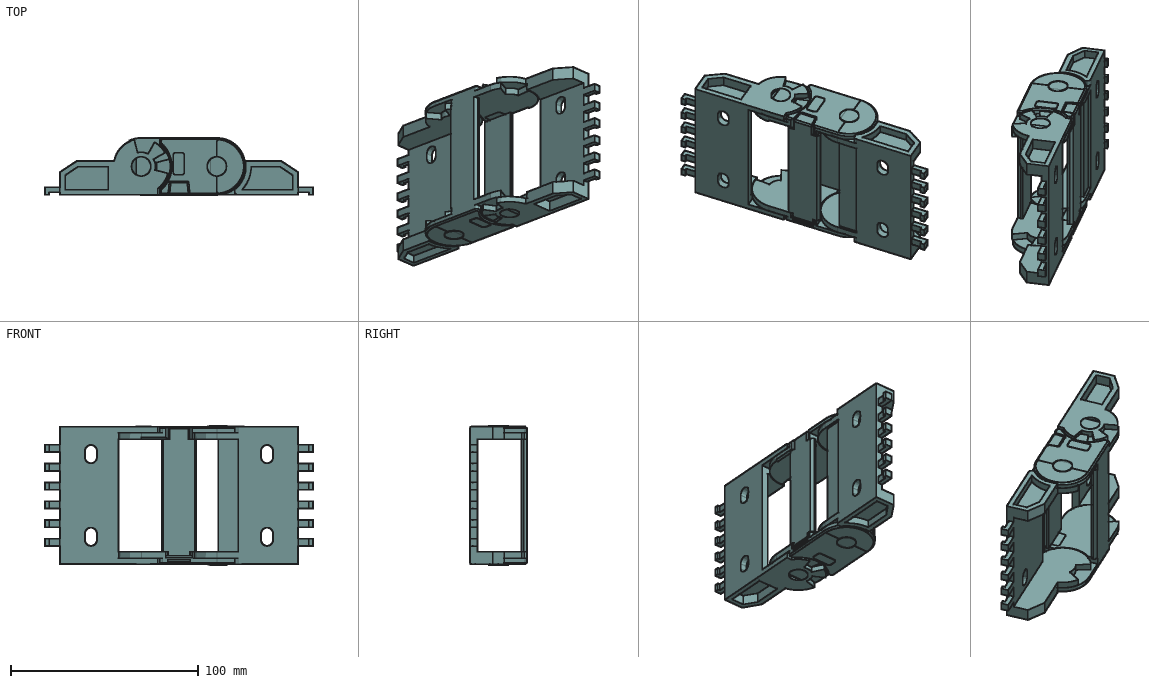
import cadquery as cq
import math


TOTAL_Y = 30.5
TOTAL_Z = 74.4

HINGE_X = 20.2
CLEARANCE = 0.3
BRACKET_SETBACK = 0.1
LINK_R = TOTAL_Y / 2
LEFT_BRACKET_R = 14.8
RIGHT_BRACKET_R = LINK_R - BRACKET_SETBACK
POCKET_R = LINK_R + CLEARANCE
PIN_R = 5.2

INNER_Z = 30.0
SPLIT_Z = 33.5
OUTER_Z = 36.7

END_X = 63.7
BASE_Y = -RIGHT_BRACKET_R
WALL_TOP_Y = 3.0
CORNER_Y = -3.0
CORNER_X = 54.5
FLOOR_T = 4.0
FLOOR_TOP_Y = BASE_Y + FLOOR_T
LEFT_FLOOR_X = -32.3
RIGHT_FLOOR_X = 31.5
RIGHT_LEDGE_X = 21.0
LEDGE_STEP = 1.3
LEFT_TOE_X = -11.3
RIGHT_TOE_X = 29.7
TOE_FILLET = 1.7

LEFT_POCKET_DEPTH = 5.6
RIGHT_POCKET_DEPTH = 4.2
POCKET_END_X = 60.8
POCKET_SLOPE_X = 53.9
POCKET_SLOPE_Y = -4.7
POCKET_TOP_Y = -0.1
POCKET_BASE_Y = -12.3
POCKET_INNER_X = 37.9
POCKET_ARC_R = 18.4

SLOT_X = 47.0
SLOT_Z = 22.1
SLOT_LENGTH = 9.6
SLOT_WIDTH = 6.3
TOOTH_COUNT = 6
TOOTH_PITCH = 10.0
TOOTH_WIDTH = 4.0
TOOTH_TIP_X = 71.7
TOOTH_TIP_LENGTH = 2.3
TOOTH_T = 2.7

STOP_R = 7.6
STOP_TOP_Z = 35.1
UPPER_WINDOW = (61, 104.5)
LOWER_WINDOW = (-14.5, 30)
LOWER_STOP_END = 14.5
LOWER_STOP_R = 8.5
NOTCH_R = 7.0
NOTCH_SPAN = 60
NOTCH_WALL = 114.5

LINK_LEFT_X = -10.3
LINK_RIGHT_X = 8.0
LINK_CORNER_R = 1.5
RIM_CHAMFER = 0.9
INNER_BEVEL = 1.0
PAD_R = 14.3
PAD_H = 0.1
PAD_FILLET = 1.1
LABEL_LENGTH = 11.9
LABEL_WIDTH = 6.0
LABEL_FILLET = 1.5
LABEL_DEPTH = 0.3
LABEL_X = -0.1
LABEL_Y = 1.5

LEFT_PIN_TOP_Z = 36.9
LEFT_PIN_FLAT_X = -2.6
LEFT_PIN_DROP = 1.7
RIGHT_PIN_TOP_Z = TOTAL_Z / 2
RIGHT_PIN_FLAT_X = -3.5
RIGHT_PIN_DROP = 0.5

BAR_HALF_WIDTH = 9.3
BAR_T = 3.0
BAR_BEVEL_X = 1.0
BAR_BEVEL_Y = 1.9
TAB_FRONT_HALF = 5.9
TAB_BACK_HALF = 5.2
TAB_BACK_Y = -7.9
TAB_CHAMFER = 0.9
TAB_FILLET = 1.1
TAB_FLARE = 1.1
UPPER_TAB_Z = 36.4
LOWER_TAB_Z = -32.3
SILL_BEVEL = 1.0
GROOVE_Z = -34.8
GROOVE_H = 1.1
GROOVE_DEPTH = 0.7

EXTRA = 1.5


def slab(outline, z_low, z_high):
    """Closed XY outline extruded between two heights."""
    return outline.extrude(z_high - z_low).translate((0, 0, z_low))


def disc(x, radius, z_low, z_high):
    return slab(cq.Workplane("XY").center(x, 0).circle(radius), z_low, z_high)


def block(x_low, x_high, y_low, y_high, z_low, z_high):
    size = (x_high - x_low, y_high - y_low, z_high - z_low)
    return cq.Workplane("XY").box(*size, centered=False).translate((x_low, y_low, z_low))


def polar(radius, degrees):
    """Point around the left hinge axis."""
    angle = math.radians(degrees)
    return (-HINGE_X + radius * math.cos(angle), radius * math.sin(angle))


def sector(r_inner, r_outer, start, end, z_low, z_high):
    """Ring segment around the left hinge axis."""
    middle = (start + end) / 2
    outline = (
        cq.Workplane("XY")
        .moveTo(*polar(r_inner, start))
        .lineTo(*polar(r_outer, start))
        .threePointArc(polar(r_outer, middle), polar(r_outer, end))
        .lineTo(*polar(r_inner, end))
        .threePointArc(polar(r_inner, middle), polar(r_inner, start))
        .close()
    )
    return slab(outline, z_low, z_high)


def mirrored(body):
    """The body together with its mirror image about Z = 0."""
    return body.union(body.mirror("XY"))


def pin(x, top_z, flat_x, drop):
    """Hinge pin on the inner layer, with a lead-in slope on its -X side."""
    slope = (
        cq.Workplane("XZ")
        .polyline([(x + flat_x, top_z), (x - PIN_R, top_z - drop), (x - PIN_R, top_z)])
        .close()
        .extrude(PIN_R, both=True)
    )
    return disc(x, PIN_R, SPLIT_Z, top_z).cut(slope)


def wall_profile(side, inner_x):
    """Side wall outline from the outer end to inner_x; side is -1 (left) or +1 (right)."""
    return cq.Workplane("XY").polyline([
        (inner_x, BASE_Y),
        (side * END_X, BASE_Y),
        (side * END_X, CORNER_Y),
        (side * CORNER_X, WALL_TOP_Y),
        (inner_x, WALL_TOP_Y),
    ]).close()


def floor_plate(side, inner_x):
    x_low, x_high = sorted((side * END_X, inner_x))
    plate = block(x_low, x_high, BASE_Y, FLOOR_TOP_Y, -INNER_Z, INNER_Z)
    slots = (
        cq.Workplane("XZ", origin=(0, FLOOR_TOP_Y + EXTRA, 0))
        .pushPoints([(side * SLOT_X, SLOT_Z), (side * SLOT_X, -SLOT_Z)])
        .slot2D(SLOT_LENGTH, SLOT_WIDTH, 90)
        .extrude(FLOOR_T + 2 * EXTRA)
    )
    return plate.cut(slots)


def comb(side):
    """Row of hooked strain-relief teeth on the outer end of the floor."""
    hook_x = TOOTH_TIP_X - TOOTH_TIP_LENGTH
    web_y = FLOOR_TOP_Y - TOOTH_T
    profile = [
        (END_X, FLOOR_TOP_Y),
        (TOOTH_TIP_X, FLOOR_TOP_Y),
        (TOOTH_TIP_X, BASE_Y),
        (hook_x, BASE_Y),
        (hook_x, web_y),
        (END_X, web_y),
    ]
    outline = cq.Workplane("XY").polyline([(side * x, y) for x, y in profile]).close()
    tooth = slab(outline, -TOOTH_WIDTH / 2, TOOTH_WIDTH / 2)
    teeth = cq.Workplane("XY")
    for index in range(TOOTH_COUNT):
        z = (index - (TOOTH_COUNT - 1) / 2) * TOOTH_PITCH
        teeth = teeth.add(tooth.translate((0, 0, z)))
    return teeth


def side_pocket(side, depth):
    """Recess in the outer face of a bracket side wall."""
    outline = cq.Workplane("XY").polyline([
        (side * HINGE_X, POCKET_BASE_Y),
        (side * POCKET_END_X, POCKET_BASE_Y),
        (side * POCKET_END_X, POCKET_SLOPE_Y),
        (side * POCKET_SLOPE_X, POCKET_TOP_Y),
        (side * HINGE_X, POCKET_TOP_Y),
    ]).close()
    return slab(outline, OUTER_Z - depth, OUTER_Z + EXTRA)


def finish_bracket(side_wall, floor, side):
    body = mirrored(side_wall).union(floor)
    for tooth in comb(side).vals():
        body = body.union(cq.Workplane(tooth))
    return body


def make_left_bracket():
    """Bracket whose outer layer carries the hinge hole and the stop windows."""
    toe = LEFT_TOE_X
    wall = slab(wall_profile(-1, -HINGE_X), INNER_Z, OUTER_Z)
    wall = wall.union(disc(-HINGE_X, LEFT_BRACKET_R, SPLIT_Z, OUTER_Z))
    wall = wall.union(block(-HINGE_X, toe, BASE_Y, 0, SPLIT_Z, OUTER_Z))

    link_recess = disc(-HINGE_X, POCKET_R, INNER_Z, SPLIT_Z)
    link_recess = link_recess.union(
        block(LEFT_FLOOR_X, toe, BASE_Y - EXTRA, LINK_R, INNER_Z, SPLIT_Z)
    )
    wall = wall.cut(link_recess)

    reach = LINK_R + EXTRA
    wall = wall.cut(sector(STOP_R, reach, *UPPER_WINDOW, SPLIT_Z, OUTER_Z))
    wall = wall.cut(sector(STOP_R, reach, *LOWER_WINDOW, SPLIT_Z, OUTER_Z))
    wall = wall.cut(disc(-HINGE_X, PIN_R, SPLIT_Z, OUTER_Z))

    pocket_limit = block(-END_X, -POCKET_INNER_X, BASE_Y, WALL_TOP_Y, INNER_Z, OUTER_Z + EXTRA)
    wall = wall.cut(side_pocket(-1, LEFT_POCKET_DEPTH).intersect(pocket_limit))
    return finish_bracket(wall, floor_plate(-1, LEFT_FLOOR_X), -1)


def make_right_bracket():
    """Bracket whose inner layer carries the hinge pins."""
    inner = slab(wall_profile(1, HINGE_X), INNER_Z, SPLIT_Z)
    inner = inner.union(disc(HINGE_X, RIGHT_BRACKET_R, INNER_Z, SPLIT_Z))
    notch = sector(
        NOTCH_R, LINK_R + EXTRA, NOTCH_WALL - NOTCH_SPAN, NOTCH_WALL, INNER_Z, SPLIT_Z
    )
    inner = inner.cut(notch.translate((2 * HINGE_X, 0, 0)))

    outer = slab(wall_profile(1, RIGHT_TOE_X), SPLIT_Z, OUTER_Z)
    toe = cq.selectors.NearestToPointSelector((RIGHT_TOE_X, BASE_Y, (SPLIT_Z + OUTER_Z) / 2))
    outer = outer.edges(toe).fillet(TOE_FILLET)
    outer = outer.cut(disc(HINGE_X, POCKET_R, SPLIT_Z, OUTER_Z))

    wall = inner.union(outer)
    arc_limit = disc(HINGE_X, POCKET_ARC_R, INNER_Z, OUTER_Z + EXTRA)
    wall = wall.cut(side_pocket(1, RIGHT_POCKET_DEPTH).cut(arc_limit))
    wall = wall.union(pin(HINGE_X, RIGHT_PIN_TOP_Z, RIGHT_PIN_FLAT_X, RIGHT_PIN_DROP))

    ledge = block(
        RIGHT_LEDGE_X, RIGHT_FLOOR_X, BASE_Y + LEDGE_STEP, FLOOR_TOP_Y, -INNER_Z, INNER_Z
    )
    return finish_bracket(wall, floor_plate(1, RIGHT_FLOOR_X).union(ledge), 1)


def crossbar():
    """Bar along Z on the +Y side, bevelled along its two outer edges."""
    half_face = BAR_HALF_WIDTH - BAR_BEVEL_X
    shoulder_y = LINK_R - BAR_BEVEL_Y
    outline = cq.Workplane("XY").polyline([
        (-BAR_HALF_WIDTH, LINK_R - BAR_T),
        (BAR_HALF_WIDTH, LINK_R - BAR_T),
        (BAR_HALF_WIDTH, shoulder_y),
        (half_face, LINK_R),
        (-half_face, LINK_R),
        (-BAR_HALF_WIDTH, shoulder_y),
    ]).close()
    return slab(outline, -INNER_Z, INNER_Z)


def tab_prism(z_low, z_high):
    """Trapezoid of a lid tab, rounded at its two back corners."""
    outline = cq.Workplane("XY").polyline([
        (-TAB_FRONT_HALF, -LINK_R),
        (TAB_FRONT_HALF, -LINK_R),
        (TAB_BACK_HALF, TAB_BACK_Y),
        (-TAB_BACK_HALF, TAB_BACK_Y),
    ]).close()
    return slab(outline, z_low, z_high).edges("|Z and >Y").fillet(TAB_FILLET)


def notch_mouth(z_low, z_high):
    """Flare that widens the tab notch at the front face of the link."""
    outline = cq.Workplane("XY").polyline([
        (-TAB_FRONT_HALF - TAB_FLARE, -LINK_R),
        (TAB_FRONT_HALF + TAB_FLARE, -LINK_R),
        (0, -LINK_R + TAB_FRONT_HALF + TAB_FLARE),
    ]).close()
    return slab(outline, z_low, z_high)


def link_side():
    """One side plate of the link (+Z side)."""
    inner = disc(-HINGE_X, LINK_R, INNER_Z, SPLIT_Z)
    inner = inner.union(block(-HINGE_X, LINK_RIGHT_X, -LINK_R, LINK_R, INNER_Z, SPLIT_Z))
    inner = inner.cut(disc(HINGE_X, POCKET_R, INNER_Z, SPLIT_Z))
    inner = inner.cut(
        sector(NOTCH_R, LINK_R + EXTRA, NOTCH_WALL, NOTCH_WALL + NOTCH_SPAN, INNER_Z, SPLIT_Z)
    )

    outer = block(LINK_LEFT_X, HINGE_X, -LINK_R, LINK_R, SPLIT_Z, OUTER_Z)
    outer = outer.edges("|Z and <X").fillet(LINK_CORNER_R)
    outer = outer.union(disc(HINGE_X, LINK_R, SPLIT_Z, OUTER_Z))
    outer = outer.faces(">Z").edges().chamfer(RIM_CHAMFER)
    outer = outer.cut(disc(-HINGE_X, POCKET_R, SPLIT_Z, OUTER_Z))
    rim_cone = cq.Workplane(
        cq.Solid.makeCone(
            POCKET_R, POCKET_R + RIM_CHAMFER, RIM_CHAMFER,
            pnt=cq.Vector(-HINGE_X, 0, OUTER_Z - RIM_CHAMFER),
        )
    )
    outer = outer.cut(rim_cone)

    pad = disc(HINGE_X, PAD_R, OUTER_Z, OUTER_Z + PAD_H)
    pad = pad.intersect(block(HINGE_X, END_X, -LINK_R, LINK_R, OUTER_Z, OUTER_Z + PAD_H))
    pad = pad.edges("|Z").fillet(PAD_FILLET)
    outer = outer.union(pad).cut(disc(HINGE_X, PIN_R, SPLIT_Z, OUTER_Z + EXTRA))

    label = block(
        LABEL_X - LABEL_WIDTH / 2, LABEL_X + LABEL_WIDTH / 2,
        LABEL_Y - LABEL_LENGTH / 2, LABEL_Y + LABEL_LENGTH / 2,
        OUTER_Z - LABEL_DEPTH, OUTER_Z,
    ).edges("|Z").fillet(LABEL_FILLET)
    outer = outer.cut(label)

    stop = sector(
        LOWER_STOP_R, POCKET_R, LOWER_WINDOW[0], LOWER_STOP_END, SPLIT_Z, STOP_TOP_Z
    )

    hinge_pin = pin(-HINGE_X, LEFT_PIN_TOP_Z, LEFT_PIN_FLAT_X, LEFT_PIN_DROP)
    return inner.union(outer).union(stop).union(hinge_pin)


def make_link():
    link = mirrored(link_side()).union(crossbar())

    link = link.cut(tab_prism(INNER_Z, OUTER_Z)).cut(notch_mouth(INNER_Z, OUTER_Z))

    edge_bevel = (
        cq.Workplane("YZ", origin=(-HINGE_X, 0, 0))
        .polyline([
            (-LINK_R, INNER_Z),
            (-LINK_R + INNER_BEVEL, INNER_Z),
            (-LINK_R, INNER_Z + INNER_BEVEL),
        ])
        .close()
        .extrude(HINGE_X)
    )
    link = link.cut(edge_bevel)

    link = link.cut(tab_prism(LOWER_TAB_Z, -INNER_Z)).cut(notch_mouth(LOWER_TAB_Z, -INNER_Z))
    sill_bevel = (
        cq.Workplane("YZ")
        .polyline([
            (-LINK_R, LOWER_TAB_Z),
            (-LINK_R + SILL_BEVEL, LOWER_TAB_Z),
            (-LINK_R, LOWER_TAB_Z - SILL_BEVEL),
        ])
        .close()
        .extrude(TAB_FRONT_HALF + TAB_FLARE, both=True)
    )
    groove = block(
        -TAB_FRONT_HALF, TAB_FRONT_HALF,
        -LINK_R, -LINK_R + GROOVE_DEPTH,
        GROOVE_Z - GROOVE_H / 2, GROOVE_Z + GROOVE_H / 2,
    )
    return link.cut(sill_bevel).cut(groove)


def make_lid():
    """Front crossbar with a chamfered tab on each end."""
    upper_tab = tab_prism(INNER_Z, UPPER_TAB_Z)
    upper_tab = upper_tab.faces(">Z or <Y").edges("not <Z").chamfer(TAB_CHAMFER)
    lower_tab = tab_prism(LOWER_TAB_Z, -INNER_Z)
    return crossbar().mirror("XZ").union(upper_tab).union(lower_tab)


left_bracket = make_left_bracket()
right_bracket = make_right_bracket()
link = make_link()
lid = make_lid()

bodies = [left_bracket, right_bracket, link, lid]
result = cq.Compound.makeCompound([body.solids().val() for body in bodies])